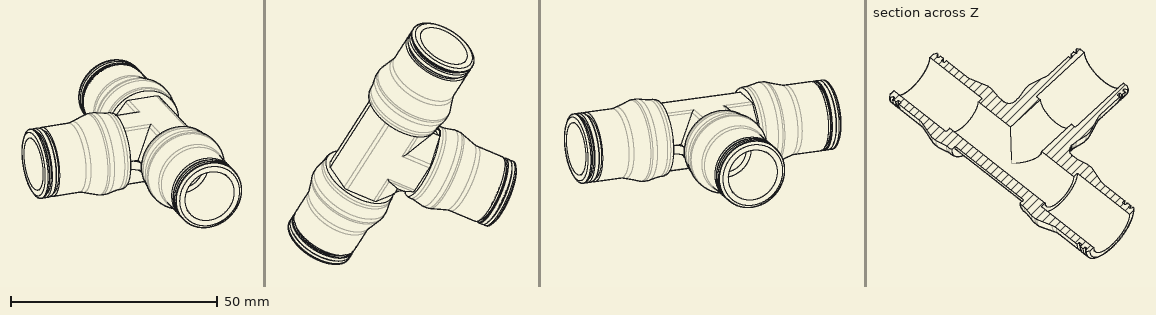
import cadquery as cq
import math

run_reach = 33.0
branch_reach = 32.95

collar_face = 11.2
collar_face_radius = 9.25
rim_start = 12.1
rim_radius = 9.45
rim_end = 12.9
bulge_start = 15.8
bulge_end = 16.95
bulge_radius = 10.0
bulge_blend = 1.5

barrel_start = 22.6
barrel_end = 29.45
barrel_radius = 8.5
barrel_blend = 3.6
shoulder_angle = math.radians(19.3)

neck_radius = 7.8
lip_bevel = 0.45
lip_crest_end = 0.8
valley_start = 1.2
valley_end = 1.6
flange_end = 2.8
flange_bevel = 0.2

bore_radius = 5.1
socket_radius = 6.4
socket_floor = bulge_start

body_half_height = 7.45
top_half_width = 4.3
side_reach = 9.4
back_top_reach = 3.95
back_reach = 8.05
side_flat_half_height = 1.1
body_edge_round = 1.05
corner_radius = 2.0


def port_profile(tip):
    """Half section of one port: X is the radius, Y the distance from the crossing."""
    shoulder_sine = math.sin(shoulder_angle)
    shoulder_rise = 1 - math.cos(shoulder_angle)
    shoulder_foot = (
        barrel_radius + barrel_blend * shoulder_rise,
        barrel_start - barrel_blend * shoulder_sine,
    )
    shoulder_top = (
        bulge_radius - bulge_blend * shoulder_rise,
        bulge_end + bulge_blend * shoulder_sine,
    )
    return (
        cq.Workplane("XY")
        .moveTo(0, tip)
        .lineTo(neck_radius, tip)
        .lineTo(barrel_radius, tip - lip_bevel)
        .lineTo(barrel_radius, tip - lip_crest_end)
        .lineTo(neck_radius, tip - valley_start)
        .lineTo(neck_radius, tip - valley_end)
        .lineTo(barrel_radius, tip - valley_end)
        .lineTo(barrel_radius, tip - flange_end + flange_bevel)
        .lineTo(barrel_radius - flange_bevel, tip - flange_end)
        .lineTo(neck_radius, tip - flange_end)
        .lineTo(neck_radius, barrel_end)
        .lineTo(barrel_radius, barrel_end)
        .lineTo(barrel_radius, barrel_start)
        .tangentArcPoint(shoulder_foot, relative=False)
        .lineTo(*shoulder_top)
        .tangentArcPoint((bulge_radius, bulge_end), relative=False)
        .lineTo(bulge_radius, bulge_start)
        .lineTo(rim_radius, rim_end)
        .lineTo(rim_radius, rim_start)
        .tangentArcPoint((collar_face_radius, collar_face), relative=False)
        .lineTo(0, collar_face)
        .close()
    )


def aim(shape, angle):
    """Swing a shape made along +Y about Z."""
    return shape.rotate((0, 0, 0), (0, 0, 1), angle)


def port(tip, angle):
    return aim(port_profile(tip).revolve(360, (0, 0), (0, 1)), angle)


def port_passage(tip, angle):
    """Through bore from the crossing, opening into the tube socket."""
    bore = cq.Workplane("XZ").circle(bore_radius).extrude(-tip)
    socket = (
        cq.Workplane("XZ", origin=(0, socket_floor, 0))
        .circle(socket_radius)
        .extrude(-(tip - socket_floor))
    )
    return aim(bore.union(socket), angle)


def body_section(plane, right_top, right_reach):
    """Body outline: flat top and bottom, sloped sides, short upright flat at each side."""
    outline = [
        (-top_half_width, body_half_height),
        (right_top, body_half_height),
        (right_reach, side_flat_half_height),
        (right_reach, -side_flat_half_height),
        (right_top, -body_half_height),
        (-top_half_width, -body_half_height),
        (-side_reach, -side_flat_half_height),
        (-side_reach, side_flat_half_height),
    ]
    return cq.Workplane(plane).polyline(outline).close()


def run_body():
    body = body_section("YZ", back_top_reach, back_reach).extrude(collar_face, both=True)
    flat_edges = body.faces("|Z").edges("|X")
    return flat_edges.fillet(body_edge_round)


def branch_body():
    body = body_section("XZ", top_half_width, side_reach).extrude(collar_face)
    flat_edges = body.faces("|Z").edges("|Y")
    return flat_edges.fillet(body_edge_round)


def corner_web(side):
    """Concave round in the inner corner between the run and the branch."""
    reach = side_reach + corner_radius
    middle = reach - corner_radius * math.sin(math.radians(45))
    return (
        cq.Workplane("XY", origin=(0, 0, -side_flat_half_height))
        .moveTo(side * side_reach, -side_reach)
        .lineTo(side * reach, -side_reach)
        .threePointArc((side * middle, -middle), (side * side_reach, -reach))
        .close()
        .extrude(2 * side_flat_half_height)
    )


ports = [(run_reach, 90), (run_reach, -90), (branch_reach, 180)]

result = run_body().union(branch_body())
for side in (-1, 1):
    result = result.union(corner_web(side))
for tip, angle in ports:
    result = result.union(port(tip, angle))
for tip, angle in ports:
    result = result.cut(port_passage(tip, angle))